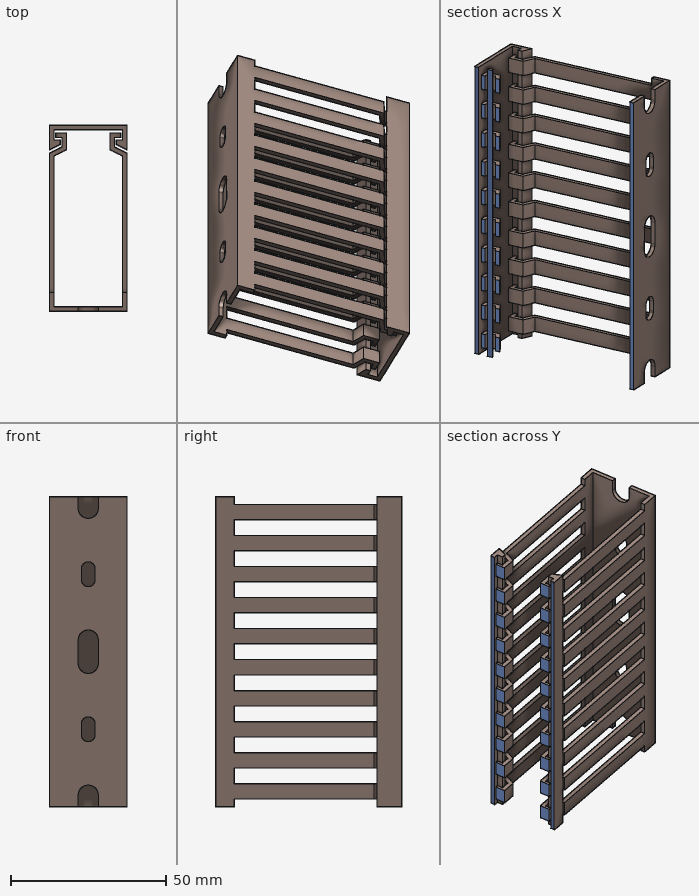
import cadquery as cq
import math

WIDTH = 25.0
DEPTH = 60.0
LENGTH = 100.0
SLOPE = 0.5
WALL = 1.5

LID_SKIRT = 8.0
LID_HOOK_REACH = 3.5

FINGER_COUNT = 10
FINGER_HEIGHT = 5.0
FINGER_PITCH = LENGTH / FINGER_COUNT
SHOULDER_DROP = 9.0
POST_INSET = 4.0
LIP_INSET = 2.0
LIP_DROP = 2.5
BASE_HEIGHT = 6.0

LARGE_SLOT_WIDTH = 6.5
LARGE_SLOT_LENGTH = 14.0
SMALL_SLOT_WIDTH = 4.5
SMALL_SLOT_LENGTH = 8.0
SLOT_SPACING = LENGTH / 2

HALF_WIDTH = WIDTH / 2


def slope_rise(run):
    """Height gained along a sloped face over a distance in X."""
    return run * SLOPE


def mirrored_outline(right_half):
    """Close an XY outline from its right half, listed from one end of the Y axis to the other."""
    left_half = [(-x, y) for x, y in reversed(right_half)]
    return cq.Workplane("XY").polyline(right_half + left_half).close()


def make_lid():
    hook_tip_x = HALF_WIDTH - LID_HOOK_REACH
    inner_x = HALF_WIDTH - WALL
    edge_y = DEPTH - LID_SKIRT
    hook_tip_y = edge_y + slope_rise(LID_HOOK_REACH)
    hook_top_y = hook_tip_y + WALL
    right_half = [
        (HALF_WIDTH, DEPTH),
        (HALF_WIDTH, edge_y),
        (hook_tip_x, hook_tip_y),
        (hook_tip_x, hook_top_y),
        (inner_x, hook_top_y),
        (inner_x, DEPTH - WALL),
    ]
    return mirrored_outline(right_half).extrude(LENGTH)


def duct_outline():
    inner_x = HALF_WIDTH - WALL
    post_outer_x = HALF_WIDTH - POST_INSET
    post_inner_x = post_outer_x - WALL
    shoulder_y = DEPTH - SHOULDER_DROP
    lip_y = DEPTH - LIP_DROP
    lip_edge_x = HALF_WIDTH - LIP_INSET
    shoulder_inner_y = shoulder_y - WALL * math.hypot(1, SLOPE)
    right_half = [
        (HALF_WIDTH, 0),
        (HALF_WIDTH, shoulder_y),
        (post_outer_x, shoulder_y + slope_rise(POST_INSET)),
        (post_outer_x, lip_y - WALL),
        (lip_edge_x, lip_y - WALL),
        (lip_edge_x, lip_y),
        (post_inner_x, lip_y),
        (post_inner_x, shoulder_inner_y + slope_rise(POST_INSET + WALL)),
        (inner_x, shoulder_inner_y + slope_rise(WALL)),
        (inner_x, WALL),
    ]
    return mirrored_outline(right_half)


def cut_finger_gaps(duct):
    """Remove the spaces between the fingers, and the half spaces at both ends of the duct."""
    gap_height = FINGER_PITCH - FINGER_HEIGHT
    gap_depth = DEPTH - BASE_HEIGHT
    gap = cq.Workplane("XY").box(WIDTH, gap_depth, gap_height, centered=(True, False, True))
    for index in range(FINGER_COUNT + 1):
        duct = duct.cut(gap.translate((0, BASE_HEIGHT, index * FINGER_PITCH)))
    return duct


def slot_cutters(length, width, heights):
    """Upright round-ended slots through the back of the duct."""
    centres = [(0, height) for height in heights]
    return cq.Workplane("XZ").pushPoints(centres).slot2D(length, width, 90).extrude(-WALL)


def make_duct():
    middle = LENGTH / 2
    large_heights = [middle - SLOT_SPACING, middle, middle + SLOT_SPACING]
    small_heights = [middle - SLOT_SPACING / 2, middle + SLOT_SPACING / 2]
    duct = cut_finger_gaps(duct_outline().extrude(LENGTH))
    duct = duct.cut(slot_cutters(LARGE_SLOT_LENGTH, LARGE_SLOT_WIDTH, large_heights))
    return duct.cut(slot_cutters(SMALL_SLOT_LENGTH, SMALL_SLOT_WIDTH, small_heights))


duct = make_duct()
lid = make_lid()
result = cq.Compound.makeCompound([duct.val(), lid.val()])